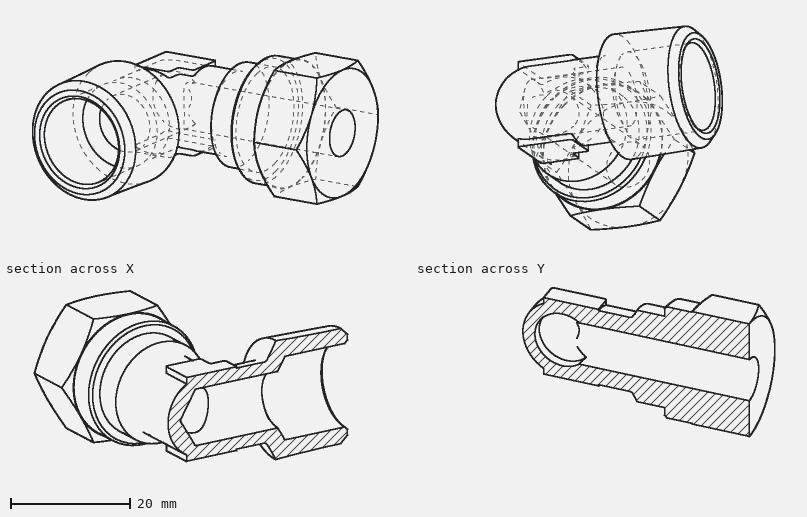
import cadquery as cq
import math

pipe_radius = 7.28
bend_end = 9.8
flare_angle = math.radians(30)
root_fillet = 0.55
search_margin = 0.22
outer_bend_fillet = 4.0
inner_bend_fillet = 0.45

male_length = 28.52
male_radius = 10.62
male_end_radius = 10.3
male_flare_start = 12.28
male_chamfer_length = 1.4
male_chamfer_depth = 1.3

collar_start = 12.6
collar_radius = 8.97
ring_start = 18.53
ring_radius = 10.9
ring_chamfer = 0.5
hex_start = 23.55
hex_end = 34.0
hex_flats = 22.0
hex_face_radius = hex_flats / 2

pad_half_height = 7.5
pad_underside = 4.9
pad_min_x = -3.45
pad_max_y = 3.55
pad_size = 10.0
pad_notch = 3.0
pad_corner_radius = 0.45

drill_slope = math.tan(math.radians(59))
mouth_radius = 8.0
mouth_chamfer = 0.6
counterbore_radius = mouth_radius - mouth_chamfer
counterbore_end = 16.05
drill_radius = 5.0
drill_tip_y = 4.78
cross_bore_radius = 3.97


def turned_on_y(points):
    """Revolve (radius, y) points about the Y axis."""
    return cq.Workplane("XY").polyline(points).close().revolve(360, (0, 0, 0), (0, 1, 0))


def turned_on_x(points):
    """Revolve (x, radius) points about the X axis."""
    return cq.Workplane("XY").polyline(points).close().revolve(360, (0, 0, 0), (1, 0, 0))


def pipe_on_x(radius, start, end):
    return cq.Workplane("YZ").workplane(offset=start).circle(radius).extrude(end - start)


def pipe_on_y(radius, start, end):
    return cq.Workplane("XZ").workplane(offset=-start).circle(radius).extrude(start - end)


def edges_near(centre, half_size):
    """Selector for edges whose centre lies in a box around a point."""
    low = [c - h for c, h in zip(centre, half_size)]
    high = [c + h for c, h in zip(centre, half_size)]
    return cq.selectors.BoxSelector(low, high)


def make_bend():
    """Two pipes cut along the diagonal plane of the bend and joined there."""
    reach = 2 * pipe_radius
    corners = [(-reach, reach), (reach, -reach)]
    x_side = cq.Workplane("XY").polyline(corners + [(reach, reach)]).close().extrude(reach, both=True)
    y_side = cq.Workplane("XY").polyline(corners + [(-reach, -reach)]).close().extrude(reach, both=True)
    x_pipe = pipe_on_x(pipe_radius, -reach, bend_end).intersect(x_side)
    y_pipe = pipe_on_y(pipe_radius, reach, -bend_end).intersect(y_side)
    return x_pipe.union(y_pipe)


def make_pads():
    max_x = pad_min_x + pad_size
    min_y = pad_max_y - pad_size
    outline = [
        (pad_min_x, pad_max_y),
        (max_x, pad_max_y),
        (max_x, min_y + pad_notch),
        (max_x - pad_notch, min_y + pad_notch),
        (max_x - pad_notch, min_y),
        (pad_min_x, min_y),
    ]
    pad = (
        cq.Workplane("XY").workplane(offset=pad_underside)
        .polyline(outline).close().extrude(pad_half_height - pad_underside)
        .edges("|Z").fillet(pad_corner_radius)
    )
    return pad.union(pad.mirror("XY"))


def make_male_end():
    flare_length = (male_radius - pipe_radius) * math.tan(flare_angle)
    body = turned_on_y([
        (0, -bend_end),
        (pipe_radius, -bend_end),
        (pipe_radius, -male_flare_start),
        (male_radius, -male_flare_start - flare_length),
        (male_end_radius, -male_length + male_chamfer_length),
        (male_end_radius - male_chamfer_depth, -male_length),
        (0, -male_length),
    ])
    root = edges_near((0, -male_flare_start, 0), (pipe_radius, search_margin, pipe_radius))
    return body.edges(root).fillet(root_fillet)


def make_collar():
    flare_length = (collar_radius - pipe_radius) * math.tan(flare_angle)
    body = turned_on_x([
        (bend_end, 0),
        (bend_end, pipe_radius),
        (collar_start, pipe_radius),
        (collar_start + flare_length, collar_radius),
        (ring_start, collar_radius),
        (ring_start, ring_radius - ring_chamfer),
        (ring_start + ring_chamfer, ring_radius),
        (hex_start, ring_radius),
        (hex_start, 0),
    ])
    root = edges_near((collar_start, 0, 0), (search_margin, pipe_radius, pipe_radius))
    return body.edges(root).fillet(root_fillet)


def make_nut():
    """Hexagon with a corner pointing along +Y and both ends coned off at the corners."""
    hex_corner = hex_flats / math.sqrt(3)
    cone_length = (hex_corner - hex_face_radius) * math.tan(flare_angle)
    prism = (
        cq.Workplane("YZ").workplane(offset=hex_start)
        .polygon(6, 2 * hex_corner).extrude(hex_end - hex_start)
    )
    envelope = turned_on_x([
        (hex_start, 0),
        (hex_start, hex_face_radius),
        (hex_start + cone_length, hex_corner),
        (hex_end - cone_length, hex_corner),
        (hex_end, hex_face_radius),
        (hex_end, 0),
    ])
    return prism.intersect(envelope)


def make_male_bore():
    """Chamfered counterbore, conical step and blind drilled hole with a pointed tip."""
    step_length = (counterbore_radius - drill_radius) / drill_slope
    return turned_on_y([
        (0, -male_length),
        (mouth_radius, -male_length),
        (counterbore_radius, -male_length + mouth_chamfer),
        (counterbore_radius, -counterbore_end),
        (drill_radius, -counterbore_end + step_length),
        (drill_radius, drill_tip_y - drill_radius / drill_slope),
        (0, drill_tip_y),
    ])


def round_bend(body):
    """Round the outer and inner diagonal edges left between the pads."""
    search_size = (pipe_radius / 2, pipe_radius / 2, pad_underside)
    outer = edges_near((-pipe_radius, pipe_radius, 0), search_size)
    inner = edges_near((pipe_radius, -pipe_radius, 0), search_size)
    return body.edges(outer).fillet(outer_bend_fillet).edges(inner).fillet(inner_bend_fillet)


elbow = round_bend(make_bend().union(make_pads()))
outside = elbow.union(make_male_end()).union(make_collar()).union(make_nut())
result = outside.cut(make_male_bore()).cut(pipe_on_x(cross_bore_radius, 0, hex_end))